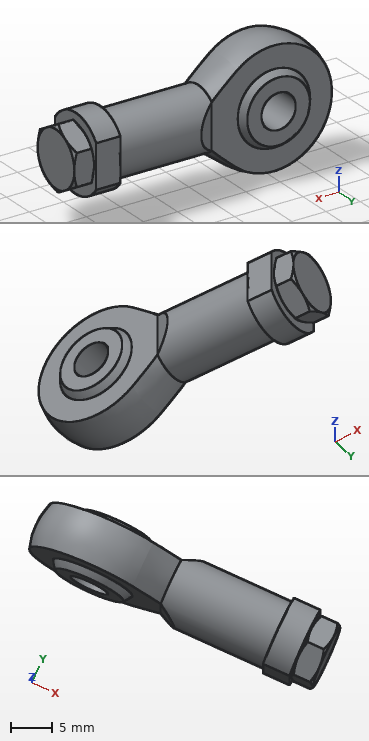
import cadquery as cq
import math


overall_length = 38.9
eye_diameter = 18.0
eye_width = 6.0
ball_diameter = 12.18
ball_width = 8.0
bore_diameter = 5.0
shank_radius = 4.45
neck_end_x = 9.1
eye_taper_angle = 30.0
collar_diameter = 10.97
collar_across_flats = 9.0
collar_length = 3.55
hex_across_flats = 8.0
hex_length = 2.88
hex_chamfer_angle = 30.0

eye_radius = eye_diameter / 2
ball_radius = ball_diameter / 2

end_x = overall_length - eye_radius
hex_start_x = end_x - hex_length
collar_start_x = hex_start_x - collar_length


def along_x(start_x):
    """Workplane facing +X, for sections across the shank."""
    return cq.Workplane("YZ", origin=(start_x, 0, 0))


def make_eye_and_shank():
    """Revolve a sphere, a neck cone tangent to it and the cylindrical shank about X."""
    neck_end_distance = math.hypot(neck_end_x, shank_radius)
    tangent_angle = math.atan2(shank_radius, neck_end_x) + math.acos(eye_radius / neck_end_distance)
    tangent_point = (eye_radius * math.cos(tangent_angle), eye_radius * math.sin(tangent_angle))
    return (
        cq.Workplane("XY")
        .moveTo(-eye_radius, 0)
        .threePointArc((0, eye_radius), tangent_point)
        .lineTo(neck_end_x, shank_radius)
        .lineTo(collar_start_x, shank_radius)
        .lineTo(collar_start_x, 0)
        .close()
        .revolve(360, (0, 0, 0), (1, 0, 0))
    )


def make_width_envelope():
    """Block that flattens the eye and tapers outward to the full shank width."""
    half_eye = eye_width / 2
    taper_length = (shank_radius - half_eye) / math.tan(math.radians(eye_taper_angle))
    taper_end_x = neck_end_x + taper_length
    upper_side = [
        (-eye_radius, half_eye),
        (neck_end_x, half_eye),
        (taper_end_x, shank_radius),
        (collar_start_x, shank_radius),
    ]
    lower_side = [(x, -y) for x, y in reversed(upper_side)]
    return cq.Workplane("XY").polyline(upper_side + lower_side).close().extrude(eye_radius, both=True)


def make_collar():
    """Round collar with two wrench flats facing -Y and +Y."""
    collar = along_x(collar_start_x).circle(collar_diameter / 2).extrude(collar_length)
    flats = along_x(collar_start_x).rect(collar_across_flats, collar_diameter).extrude(collar_length)
    return collar.intersect(flats)


def make_hex():
    """Hexagon with its corners chamfered by a cone at both ends."""
    flat_radius = hex_across_flats / 2
    corner_radius = flat_radius / math.cos(math.radians(30))
    chamfer_length = (corner_radius - flat_radius) * math.tan(math.radians(hex_chamfer_angle))
    prism = along_x(hex_start_x).polygon(6, 2 * corner_radius).extrude(hex_length)
    prism = prism.rotate((0, 0, 0), (1, 0, 0), 90)
    envelope = (
        cq.Workplane("XY")
        .polyline([
            (hex_start_x, 0),
            (hex_start_x, flat_radius),
            (hex_start_x + chamfer_length, corner_radius),
            (end_x - chamfer_length, corner_radius),
            (end_x, flat_radius),
            (end_x, 0),
        ])
        .close()
        .revolve(360, (0, 0, 0), (1, 0, 0))
    )
    return prism.intersect(envelope)


def make_housing():
    """Eye, shank, collar and hexagon, with a spherical socket for the ball."""
    housing = make_eye_and_shank().intersect(make_width_envelope())
    housing = housing.union(make_collar()).union(make_hex())
    return housing.cut(make_ball_barrel())


def make_ball_barrel():
    """Sphere truncated by two flat faces, revolved about Y."""
    half_width = ball_width / 2
    face_radius = math.sqrt(ball_radius**2 - half_width**2)
    return (
        cq.Workplane("XY")
        .moveTo(0, -half_width)
        .lineTo(face_radius, -half_width)
        .threePointArc((ball_radius, 0), (face_radius, half_width))
        .lineTo(0, half_width)
        .close()
        .revolve(360, (0, 0, 0), (0, 1, 0))
    )


def make_ball():
    """Truncated sphere with a through bore along Y."""
    bore = cq.Workplane("XZ").circle(bore_diameter / 2).extrude(ball_width, both=True)
    return make_ball_barrel().cut(bore)


housing = make_housing()
ball = make_ball()

result = cq.Compound.makeCompound([housing.val(), ball.val()])